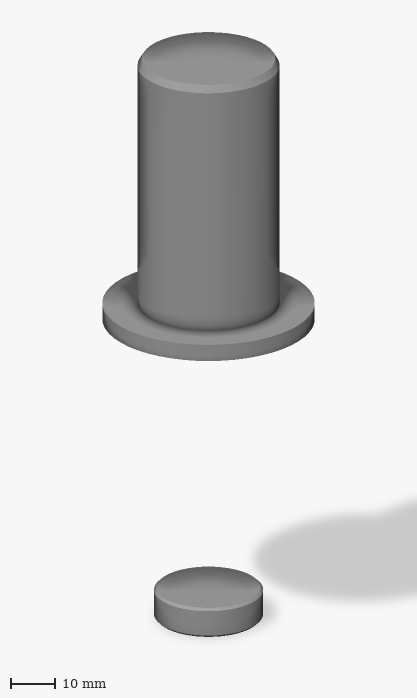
import cadquery as cq

total_height = 137.0

flange_diameter = 48.0
flange_thickness = 4.0
pin_height = 64.0
stem_diameter = 32.0
stem_chamfer_height = 1.6
stem_chamfer_width = 1.0
pin_base_z = total_height - pin_height
stem_length = pin_height - flange_thickness

disc_diameter = 24.7
disc_thickness = 7.1
disc_chamfer = 0.58


def make_flanged_pin():
    """Round stem with a chamfered top, standing on a plain round flange."""
    flange = cq.Workplane("XY").circle(flange_diameter / 2).extrude(flange_thickness)
    stem = (
        cq.Workplane("XY", origin=(0, 0, flange_thickness))
        .circle(stem_diameter / 2)
        .extrude(stem_length)
        .faces(">Z")
        .edges()
        .chamfer(stem_chamfer_height, stem_chamfer_width)
    )
    return flange.union(stem).translate((0, 0, pin_base_z))


def make_disc():
    """Round disc with both rims chamfered."""
    return (
        cq.Workplane("XY")
        .circle(disc_diameter / 2)
        .extrude(disc_thickness)
        .faces("<Z or >Z")
        .edges()
        .chamfer(disc_chamfer)
    )


flanged_pin = make_flanged_pin()
disc = make_disc()

result = cq.Compound.makeCompound([flanged_pin.val(), disc.val()])